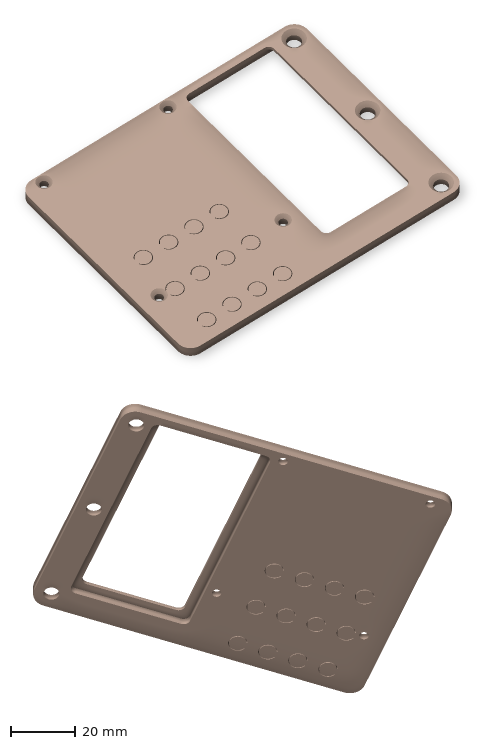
import cadquery as cq

LENGTH = 110.0
WIDTH = 85.0
THICKNESS = 3.7
CORNER_RADIUS = 5.0

WINDOW_WIDTH = 71.2
WINDOW_HEIGHT = 34.1
WINDOW_LEFT_MARGIN = 2.9
WINDOW_TOP_MARGIN = 13.0
WINDOW_RADIUS = 2.2
LIP_THICKNESS = 1.2
RECESS_MARGIN = 2.8

MOUNT_HOLE_DIAMETER = 5.0
MOUNT_SINK_DIAMETER = 7.9
MOUNT_INSET = 5.5

SCREW_HOLE_DIAMETER = 3.0
SCREW_SINK_DIAMETER = 5.4
SCREW_SPACING_X = 58.0
SCREW_SPACING_Y = 49.1
SCREW_LEFT_MARGIN = 3.1
SCREW_BOTTOM_MARGIN = 7.5

SINK_ANGLE = 90.0

KEY_COLUMNS = 3
KEY_ROWS = 4
KEY_PITCH_X = 16.0
KEY_PITCH_Y = 10.0
KEY_RIGHT_MARGIN = 7.0
KEY_BOTTOM_MARGIN = 13.0
KEY_DIAMETER = 5.5
KEY_SLOT_WIDTH = 0.28
KEY_HINGE_WIDTH = 2.3

LEFT = -WIDTH / 2
RIGHT = WIDTH / 2
BOTTOM = -LENGTH / 2
TOP = LENGTH / 2


def make_plate():
    plate = cq.Workplane("XY").box(WIDTH, LENGTH, THICKNESS, centered=(True, True, False))
    return plate.edges("|Z").fillet(CORNER_RADIUS)


def cut_window(plate):
    center_x = LEFT + WINDOW_LEFT_MARGIN + WINDOW_WIDTH / 2
    center_y = TOP - WINDOW_TOP_MARGIN - WINDOW_HEIGHT / 2
    window = (
        cq.Workplane("XY")
        .center(center_x, center_y)
        .rect(WINDOW_WIDTH, WINDOW_HEIGHT)
        .extrude(THICKNESS)
        .edges("|Z")
        .fillet(WINDOW_RADIUS)
    )
    recess = (
        cq.Workplane("XY")
        .center(center_x + RECESS_MARGIN / 2, center_y)
        .rect(WINDOW_WIDTH + RECESS_MARGIN, WINDOW_HEIGHT + 2 * RECESS_MARGIN)
        .extrude(THICKNESS - LIP_THICKNESS)
        .edges("|Z")
        .fillet(WINDOW_RADIUS)
    )
    return plate.cut(window).cut(recess)


def cut_countersunk_holes(plate, points, hole_diameter, sink_diameter):
    top_face = plate.faces(">Z").workplane(origin=(0, 0, THICKNESS))
    return top_face.pushPoints(points).cskHole(hole_diameter, sink_diameter, SINK_ANGLE)


def mount_points():
    x = RIGHT - MOUNT_INSET
    y = TOP - MOUNT_INSET
    return [(-x, y), (0, y), (x, y)]


def screw_points():
    x = LEFT + SCREW_LEFT_MARGIN
    y = BOTTOM + SCREW_BOTTOM_MARGIN
    return [(x + i * SCREW_SPACING_X, y + j * SCREW_SPACING_Y) for i in range(2) for j in range(2)]


def key_points():
    x = RIGHT - KEY_RIGHT_MARGIN
    y = BOTTOM + KEY_BOTTOM_MARGIN
    return [
        (x - column * KEY_PITCH_X, y + row * KEY_PITCH_Y)
        for column in range(KEY_COLUMNS)
        for row in range(KEY_ROWS)
    ]


def make_key_slot():
    outer_diameter = KEY_DIAMETER + 2 * KEY_SLOT_WIDTH
    ring = cq.Workplane("XY").circle(outer_diameter / 2).circle(KEY_DIAMETER / 2).extrude(THICKNESS)
    hinge = (
        cq.Workplane("XY")
        .center(0, -outer_diameter / 2)
        .rect(KEY_HINGE_WIDTH, outer_diameter)
        .extrude(THICKNESS)
    )
    return ring.cut(hinge)


def cut_keypad(plate):
    slot = make_key_slot()
    for x, y in key_points():
        plate = plate.cut(slot.translate((x, y, 0)))
    return plate


result = make_plate()
result = cut_window(result)
result = cut_countersunk_holes(result, mount_points(), MOUNT_HOLE_DIAMETER, MOUNT_SINK_DIAMETER)
result = cut_countersunk_holes(result, screw_points(), SCREW_HOLE_DIAMETER, SCREW_SINK_DIAMETER)
result = cut_keypad(result)